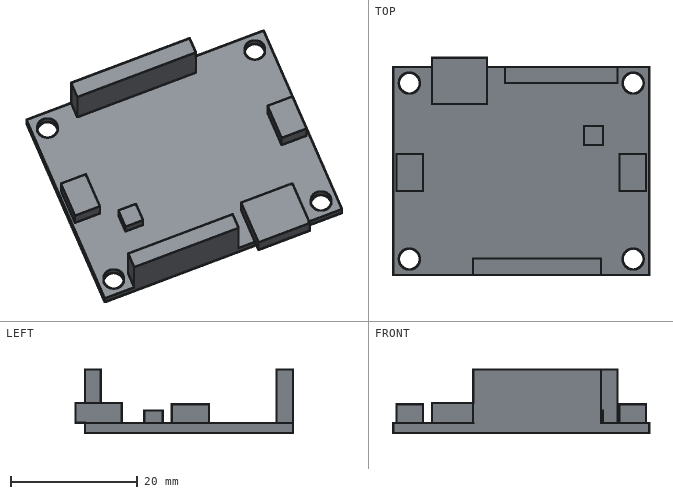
import cadquery as cq

board_length = 40.65
board_width = 33.05
board_thickness = 1.63
hole_diameter = 3.3
hole_inset = 2.55

header_height = 8.5
front_header_start = 12.7
front_header_length = 10.15
front_header_count = 2
front_header_depth = 2.65
back_header_start = 17.7
back_header_length = 17.9
back_header_depth = 2.5

connector_start = 6.15
connector_length = 8.78
connector_width = 7.35
connector_height = 3.2
connector_overhang = 1.5

button_length = 4.25
button_width = 5.95
button_height = 3.0
button_inset = 0.5
button_start_y = 13.35

chip_side = 3.0
chip_height = 2.0
chip_x = 30.28
chip_y = 20.65


def make_board():
    """Plate with a through hole near each corner."""
    hole_spacing_x = board_length - 2 * hole_inset
    hole_spacing_y = board_width - 2 * hole_inset
    plate = cq.Workplane("XY").box(board_length, board_width, board_thickness, centered=False)
    return (
        plate.faces(">Z")
        .workplane(centerOption="CenterOfBoundBox")
        .rarray(hole_spacing_x, hole_spacing_y, 2, 2)
        .hole(hole_diameter)
    )


def component(x, y, length, width, height):
    """Block standing on the board, placed by its front left corner."""
    block = cq.Workplane("XY").box(length, width, height, centered=False)
    return block.translate((x, y, board_thickness))


result = make_board()

for index in range(front_header_count):
    header_x = front_header_start + index * front_header_length
    header = component(header_x, 0, front_header_length, front_header_depth, header_height)
    result = result.union(header, clean=False)

back_header_y = board_width - back_header_depth
back_header = component(
    back_header_start, back_header_y, back_header_length, back_header_depth, header_height
)
result = result.union(back_header, clean=False)

connector_y = board_width + connector_overhang - connector_width
connector = component(
    connector_start, connector_y, connector_length, connector_width, connector_height
)
result = result.union(connector, clean=False)

for button_x in (button_inset, board_length - button_inset - button_length):
    button = component(button_x, button_start_y, button_length, button_width, button_height)
    result = result.union(button, clean=False)

chip = component(chip_x, chip_y, chip_side, chip_side, chip_height)
result = result.union(chip, clean=False)